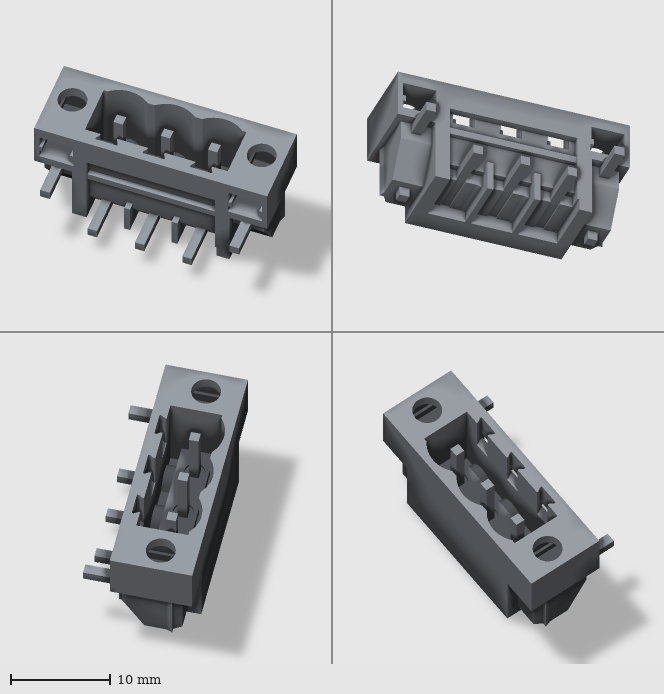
import cadquery as cq
import math

length = 25.05
depth = 8.51
height = 12.0
pitch = 5.08
contact_xs = [-pitch, 0.0, pitch]
mount_xs = [-2 * pitch, 2 * pitch]
pin_y = 4.73

pin_width = 1.0
pin_reach = 3.18
contact_bottom = 1.53
contact_top = 11.05
mount_width = 1.05
mount_leg_top = 6.5

flange_bottom = 6.7
core_half_length = 8.46

cavity_half_length = 7.65
cavity_front = 1.63
cavity_back = 6.99
cavity_floor = 3.0
scallop_peak = 7.75
scallop_half_width = 2.15
tongue_front = 2.78
tongue_back = 6.15
tongue_top = 5.0
collar_diameter = 2.13
collar_depth = 0.25

bump_half_width = 1.68
bump_arc_half_width = 1.3
bump_flank_angle = 58.0

groove_bottom = 7.85
groove_mouth_half = 0.9
groove_back_half = 1.18
groove_mouth_end = 1.45
groove_flare_end = 1.03

recess_half_length = 6.89
recess_top = 8.9
recess_depth = 0.83
rib_top = flange_bottom
rib_height = 0.75
rib_depth = 0.58
divider_width = 0.63
divider_top = 3.3

front_wall_bottom = 2.55
slab_front = 1.58
slab_bottom = 1.35
slab_low = 1.23
slab_flat_half = 1.73
slab_slope_end = 2.23
notch_width = 0.2
notch_top = 1.3

screw_diameter = 3.0
nut_bottom = 7.69
nut_top = 10.72
nut_half_width = 1.8
nut_pocket_depth = 7.2
nut_rib_bottom = 8.55
nut_rib_top = 9.21
nut_rib_width = nut_half_width - screw_diameter / 2
nut_lower_relief = 0.08

ear_bottom = 1.0
ear_front = 1.08
ear_back = 7.15
ear_side = 11.8
ear_barb = 12.05
barb_start = 5.65
barb_peak = 6.34
hook_root = 11.57
hook_end = 11.07
ear_slope_top = 4.63
ear_slope_back = 3.4


def box(x0, x1, y0, y1, z0, z1):
    """Axis-aligned block between two opposite corners."""
    return cq.Workplane("XY").box(x1 - x0, y1 - y0, z1 - z0, centered=False).translate((x0, y0, z0))


def extrude_along_y(profile_xz, y0, y1):
    """Extrude a closed sketch drawn on the XZ plane from y0 to y1."""
    return profile_xz.extrude(-(y1 - y0)).translate((0, y0, 0))


def bent_pin(x, width, leg_bottom, leg_top, tail_bottom):
    """L-shaped pin: upright leg plus a tail pointing to the front."""
    half = width / 2
    leg_back = pin_y + pin_width / 2
    leg = box(x - half, x + half, leg_back - pin_width, leg_back, leg_bottom, leg_top)
    tail = box(x - half, x + half, -pin_reach, leg_back, tail_bottom, tail_bottom + pin_width)
    return leg.union(tail)


def contact_pin(x):
    return bent_pin(x, pin_width, contact_bottom, contact_top, contact_bottom)


def mount_pin(x):
    return bent_pin(x, mount_width, 0.0, mount_leg_top, mount_leg_top - pin_width)


def ear():
    """Barbed ear under the -X end of the flange, with its lower front corner sloped off."""
    plan = [
        (-core_half_length, ear_front),
        (-ear_side, ear_front),
        (-ear_side, barb_start),
        (-ear_barb, barb_peak),
        (-hook_root, barb_peak),
        (-hook_end, ear_back),
        (-core_half_length, ear_back),
    ]
    body = cq.Workplane("XY").workplane(offset=ear_bottom).polyline(plan).close()
    body = body.extrude(flange_bottom - ear_bottom)
    slope = [(ear_front, ear_bottom), (ear_front, ear_slope_top), (ear_slope_back, ear_bottom)]
    wedge = cq.Workplane("YZ").polyline(slope).close().extrude(-length)
    return body.cut(wedge)


def cavity():
    """Mating cavity with a scalloped rear wall."""
    outline = cq.Workplane("XY").workplane(offset=cavity_floor).moveTo(-cavity_half_length, cavity_front)
    outline = outline.lineTo(-cavity_half_length, cavity_back)
    for x in contact_xs:
        outline = outline.lineTo(x - scallop_half_width, cavity_back)
        outline = outline.threePointArc((x, scallop_peak), (x + scallop_half_width, cavity_back))
    outline = outline.lineTo(cavity_half_length, cavity_back).lineTo(cavity_half_length, cavity_front)
    return outline.close().extrude(height - cavity_floor)


def floor_bump(x):
    """Rounded ridge across the cavity floor: steep flanks joined by a tangent arc."""
    angle = math.radians(bump_flank_angle)
    radius = bump_arc_half_width / math.sin(angle)
    shoulder = cavity_floor + (bump_half_width - bump_arc_half_width) * math.tan(angle)
    crest = shoulder + radius * (1 - math.cos(angle))
    profile = (
        cq.Workplane("XZ")
        .moveTo(x - bump_half_width, cavity_floor)
        .lineTo(x - bump_arc_half_width, shoulder)
        .threePointArc((x, crest), (x + bump_arc_half_width, shoulder))
        .lineTo(x + bump_half_width, cavity_floor)
        .close()
    )
    return extrude_along_y(profile, cavity_front, scallop_peak)


def tongue():
    """Raised bar along the cavity floor that carries the contact pins."""
    return box(-cavity_half_length, cavity_half_length, tongue_front, tongue_back, cavity_floor, tongue_top)


def collar_recess(x):
    """Round shallow recess around a contact pin in the top of the tongue."""
    base = cq.Workplane("XY").workplane(offset=tongue_top - collar_depth).center(x, pin_y)
    return base.circle(collar_diameter / 2).extrude(collar_depth)


def coding_groove(x):
    """Flared groove in the front cavity wall, open at the top."""
    right = [
        (groove_mouth_half, cavity_front),
        (groove_mouth_half, groove_mouth_end),
        (groove_back_half, groove_flare_end),
        (groove_back_half, recess_depth),
    ]
    left = [(-px, py) for px, py in reversed(right)]
    groove = cq.Workplane("XY").workplane(offset=groove_bottom).polyline(right + left).close()
    return groove.extrude(height - groove_bottom).translate((x, 0, 0))


def front_recess():
    """Shallow window in the front face, leaving a rib across it."""
    recess = box(-recess_half_length, recess_half_length, 0, recess_depth, 0, recess_top)
    rib = box(-recess_half_length, recess_half_length, recess_depth - rib_depth, recess_depth,
              rib_top - rib_height, rib_top)
    return recess.cut(rib)


def underside_pocket():
    """Pocket open at the front and below: a step under the front wall, then the space under the slab."""
    step = box(-recess_half_length, recess_half_length, 0, slab_front, 0, front_wall_bottom)
    underside = cq.Workplane("XZ").moveTo(-recess_half_length, 0).lineTo(-recess_half_length, slab_bottom)
    for x in contact_xs:
        if x > contact_xs[0]:
            underside = underside.lineTo(x - slab_slope_end, slab_low)
            underside = underside.lineTo(x - slab_flat_half, slab_bottom)
        if x < contact_xs[-1]:
            underside = underside.lineTo(x + slab_flat_half, slab_bottom)
            underside = underside.lineTo(x + slab_slope_end, slab_low)
    underside = underside.lineTo(recess_half_length, slab_bottom).lineTo(recess_half_length, 0).close()
    space = extrude_along_y(underside, 0, tongue_back)
    notch = box(recess_half_length, recess_half_length + notch_width, 0, tongue_back, 0, notch_top)
    return step.union(space).union(notch)


def divider(x):
    """Upright wall between two neighbouring pin tails."""
    half = divider_width / 2
    low = box(x - half, x + half, 0, tongue_back, 0, front_wall_bottom)
    nose = box(x - half, x + half, 0, recess_depth, 0, divider_top)
    return low.union(nose)


def tail_slot(x):
    """Slot in the slab below a contact tail, through which the pin is fitted."""
    half = pin_width / 2
    return box(x - half, x + half, slab_front, tongue_back, slab_bottom, contact_bottom)


def nut_pocket():
    """Pocket for a nut at the -X end, narrowed by a guide rib on each side, with its screw hole."""
    x = mount_xs[0]
    outer = x - nut_half_width
    inner = x + nut_half_width
    outline = [
        (outer, nut_bottom),
        (inner + nut_lower_relief, nut_bottom),
        (inner + nut_lower_relief, nut_rib_bottom),
        (inner - nut_rib_width, nut_rib_bottom),
        (inner - nut_rib_width, nut_rib_top),
        (inner, nut_rib_top),
        (inner, nut_top),
        (outer, nut_top),
        (outer, nut_rib_top),
        (outer + nut_rib_width, nut_rib_top),
        (outer + nut_rib_width, nut_rib_bottom),
        (outer, nut_rib_bottom),
    ]
    pocket = extrude_along_y(cq.Workplane("XZ").polyline(outline).close(), 0, nut_pocket_depth)
    hole = cq.Workplane("XY").workplane(offset=nut_top).center(x, pin_y).circle(screw_diameter / 2)
    return pocket.union(hole.extrude(height - nut_top))


def make_housing(pins):
    """Complete housing with the pin shapes cut out of it."""
    half = length / 2
    body = box(-half, half, 0, depth, flange_bottom, height)
    body = body.union(box(-core_half_length, core_half_length, 0, depth, 0, flange_bottom))
    body = body.union(ear()).union(ear().mirror("YZ"))

    body = body.cut(cavity())
    for x in contact_xs:
        body = body.union(floor_bump(x))
    body = body.union(tongue())
    for x in contact_xs:
        body = body.cut(collar_recess(x))

    body = body.cut(front_recess()).cut(underside_pocket())
    for x in contact_xs:
        body = body.cut(coding_groove(x))
    for x in contact_xs[:-1]:
        body = body.union(divider(x + pitch / 2))

    body = body.cut(nut_pocket()).cut(nut_pocket().mirror("YZ"))

    for pin in pins:
        body = body.cut(pin)

    for x in contact_xs:
        body = body.cut(tail_slot(x))
    return body


contact_pins = [contact_pin(x) for x in contact_xs]
mount_pins = [mount_pin(x) for x in mount_xs]
housing = make_housing(contact_pins + mount_pins)

result = cq.Compound.makeCompound(
    [housing.val()] + [pin.val() for pin in contact_pins] + [pin.val() for pin in mount_pins]
)